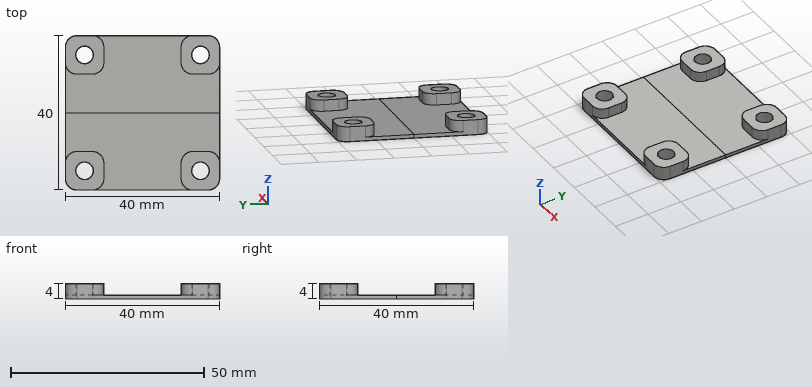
import cadquery as cq

side = 40.0
height = 4.0
plate_thickness = 1.0
boss_side = 10.0
corner_radius = 3.0
hole_diameter = 4.5

half_depth = side / 2
boss_offset = (side - boss_side) / 2


def half_plate():
    """Thin plate on the -Y side of the split, rounded at its two outer corners."""
    return (
        cq.Workplane("XY")
        .box(side, half_depth, plate_thickness, centered=(True, False, False))
        .translate((0, -half_depth, 0))
        .edges("|Z and <Y")
        .fillet(corner_radius)
    )


def corner_boss(x):
    """Rounded square boss at a plate corner, running down to the underside."""
    return (
        cq.Workplane("XY")
        .box(boss_side, boss_side, height, centered=(True, True, False))
        .edges("|Z")
        .fillet(corner_radius)
        .translate((x, -boss_offset, 0))
    )


def through_hole(x):
    """Cutter for the screw hole at the centre of a boss."""
    return cq.Workplane("XY").center(x, -boss_offset).circle(hole_diameter / 2).extrude(height)


def half_cover():
    """One half: a plate with a drilled boss at each outer corner."""
    body = half_plate()
    for x in (-boss_offset, boss_offset):
        body = body.union(corner_boss(x)).cut(through_hole(x))
    return body


halves = []
for angle in (0, 180):
    half = half_cover().rotate((0, 0, 0), (0, 0, 1), angle)
    halves.append(half.val())

result = cq.Compound.makeCompound(halves)